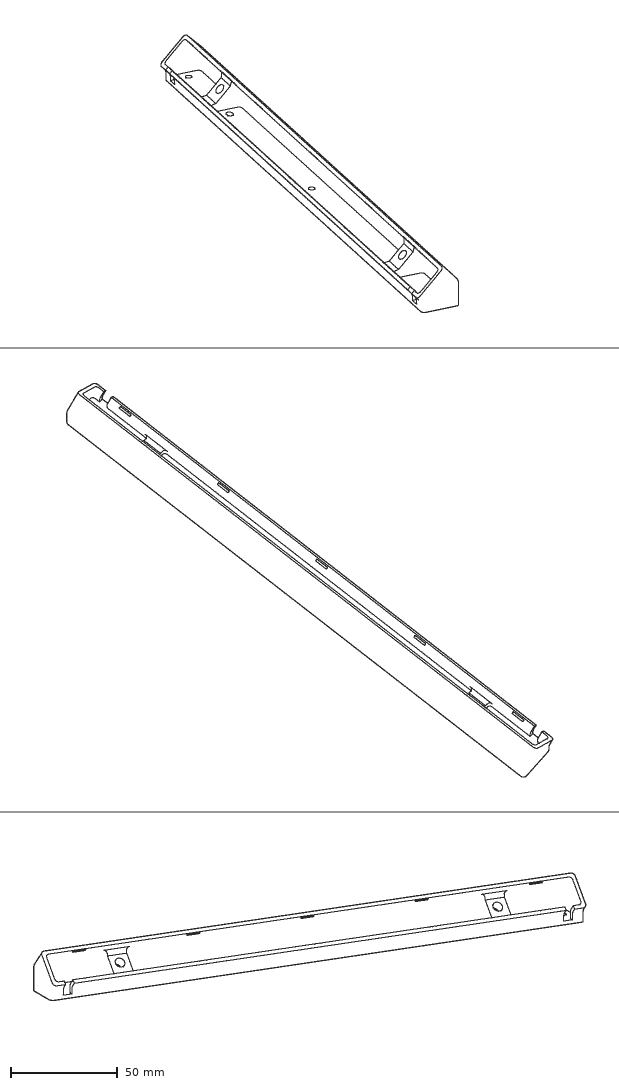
import cadquery as cq
import math

length = 280.0
depth = 22.0
height = 21.3

lip_height = 7.8
front_wall_y = 2.5
wall = 2.0
bend_radius = 3.5
end_round = 2.0
inner_round = 1.7

ridge_y = height - lip_height
eave_height = height - (depth - ridge_y)
slant_wall = wall * math.sqrt(2)
inner_front_y = front_wall_y + wall
inner_back_y = depth - wall
pick_margin = 0.03
overshoot = 2.2

boss_offset = 99.0
boss_width = 10.0
boss_drop = 9.0
boss_step_y = 7.3
boss_brow_y = 14.8
boss_draft = 10.0
screw_diameter = 4.8
screw_depth = 5.5
screw_y = 11.8

hole_diameter = 3.0
hole_y = 12.0
round_hole_offsets = (-133.5, 0, 133.5)
slot_offsets = (-89.0, 89.0)
slot_length = 4.2

notch_offset = 131.3
notch_width = 4.5

groove_count = 5
groove_spacing = 60.0
groove_length = 6.5
groove_radius = 0.5
groove_inset = 1.5


def along_x(outline, width, center_x=0):
    """Extrude a closed YZ outline along X, centred on center_x."""
    return outline.extrude(width / 2, both=True).translate((center_x, 0, 0))


def yz_outline(points):
    return cq.Workplane("YZ").polyline(points).close()


def round_ends(prism, radius):
    """Round the end edges, apart from those along the flat bottom and the 45 degree opening."""
    return prism.faces("<X or >X").edges("not(|Y or |(0,1,1))").fillet(radius)


def round_lengthwise_edge(prism, y, z, radius):
    """Round the edge running along X at the given Y and Z."""
    return prism.edges(cq.selectors.NearestToPointSelector((0, y, z))).fillet(radius)


def boss_face_height(y):
    return lip_height + y - boss_drop


def inner_lip_height(y):
    return lip_height + slant_wall - y


def inner_roof_height(y):
    return ridge_y + height - slant_wall - y


def make_shell():
    lip_root_z = lip_height - front_wall_y
    shell = along_x(
        yz_outline([
            (0, lip_height),
            (front_wall_y, lip_root_z),
            (front_wall_y, 0),
            (depth, 0),
            (depth, eave_height),
            (ridge_y, height),
        ]),
        length,
    )
    shell = round_lengthwise_edge(shell, front_wall_y, lip_root_z, bend_radius)
    shell = round_lengthwise_edge(shell, depth, eave_height, bend_radius)
    return round_ends(shell, end_round)


def make_boss(side):
    """Core of a boss: nearly level foot, 45 degree screw face, nearly upright upper face."""
    draft = math.tan(math.radians(boss_draft))
    step_z = boss_face_height(boss_step_y)
    brow_z = boss_face_height(boss_brow_y)
    outline = [
        (0, 0),
        (0, step_z - boss_step_y * draft),
        (boss_step_y, step_z),
        (boss_brow_y, brow_z),
        (boss_brow_y + (height - brow_z) * draft, height),
        (depth, height),
        (depth, 0),
    ]
    return along_x(yz_outline(outline), boss_width, side * boss_offset)


def make_cavity():
    """Space inside the housing, running out past the opening."""
    front_rim_y = slant_wall / 2 - overshoot
    back_rim_y = ridge_y - slant_wall / 2 - overshoot
    cavity = along_x(
        yz_outline([
            (front_rim_y, inner_lip_height(front_rim_y)),
            (inner_front_y, inner_lip_height(inner_front_y)),
            (inner_front_y, wall),
            (inner_back_y, wall),
            (inner_back_y, inner_roof_height(inner_back_y)),
            (back_rim_y, inner_roof_height(back_rim_y)),
        ]),
        length - 2 * wall,
    )
    cavity = round_lengthwise_edge(
        cavity, inner_front_y, inner_lip_height(inner_front_y), bend_radius
    )
    cavity = round_lengthwise_edge(
        cavity, inner_back_y, inner_roof_height(inner_back_y), bend_radius
    )
    cavity = round_ends(cavity, inner_round)
    for side in (-1, 1):
        cavity = cavity.cut(make_boss(side))
        cavity = round_boss_joints(cavity, side)
    return cavity


def round_boss_joints(cavity, side):
    """Round the upright corners where a boss meets the front and back walls."""
    x = side * boss_offset
    half = boss_width / 2 + pick_margin
    around_boss = cq.selectors.BoxSelector(
        (x - half, 0, wall + pick_margin), (x + half, inner_back_y + pick_margin, height)
    )
    return cavity.edges(around_boss).edges("|Z").fillet(inner_round)


def make_screw_hole(side):
    """Blind hole square to the sloped boss face."""
    mouth = cq.Vector(side * boss_offset, screw_y, boss_face_height(screw_y))
    hole = cq.Solid.makeCylinder(screw_diameter / 2, screw_depth, mouth, cq.Vector(0, 1, -1))
    return cq.Workplane(obj=hole)


def make_floor_holes():
    floor = cq.Workplane("XY")
    holes = floor.pushPoints([(x, hole_y) for x in round_hole_offsets])
    slots = floor.pushPoints([(x, hole_y) for x in slot_offsets])
    holes = holes.circle(hole_diameter / 2).extrude(wall)
    return holes.union(slots.slot2D(slot_length, hole_diameter).extrude(wall))


def make_notch(side):
    """Gap down to floor level through the lip and the front wall."""
    notch = cq.Workplane("XY").box(
        notch_width, inner_front_y, height, centered=(True, False, False)
    )
    return notch.translate((side * notch_offset, 0, wall))


def make_snap_grooves():
    inset_y = (slant_wall + groove_inset * math.sqrt(2)) / 2
    front_y = inset_y
    back_y = ridge_y - slant_wall + inset_y
    centers = [(front_y, inner_lip_height(front_y)), (back_y, inner_roof_height(back_y))]
    circles = cq.Workplane("YZ").pushPoints(centers).circle(groove_radius)
    pair = along_x(circles, groove_length)
    grooves = cq.Workplane("YZ")
    for i in range(groove_count):
        x = (i - (groove_count - 1) / 2) * groove_spacing
        grooves = grooves.add(pair.translate((x, 0, 0)))
    return grooves.combine()


result = make_shell().cut(make_cavity()).cut(make_floor_holes()).cut(make_snap_grooves())
for side in (-1, 1):
    result = result.cut(make_notch(side)).cut(make_screw_hole(side))